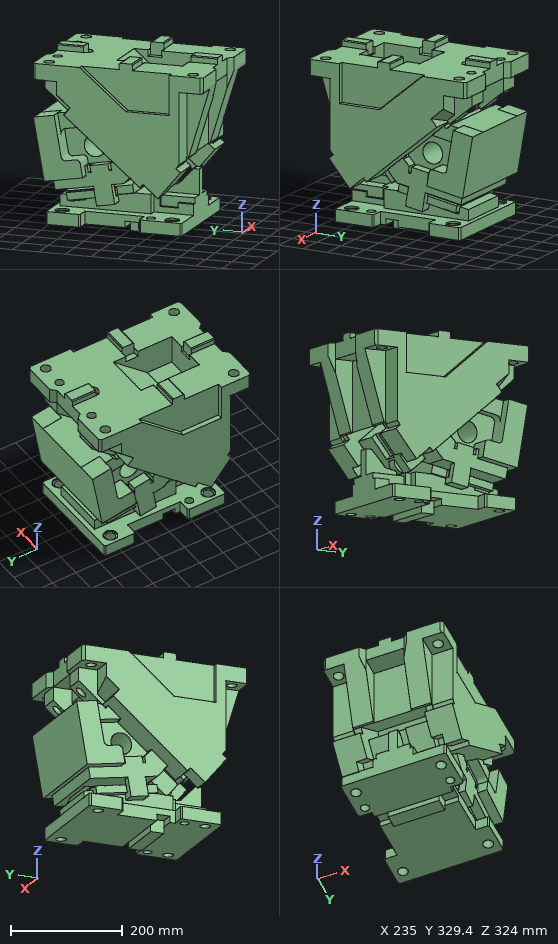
import cadquery as cq
import math

GUIDE_ANGLE = math.radians(40)
GUIDE_ORIGIN_Y = -30.3
GUIDE_ORIGIN_Z = 99.3

RAIL_ANGLE = math.radians(10)
RAIL_ORIGIN_Y = 158.7
RAIL_ORIGIN_Z = 90.6


def guide_point(along, above):
    """(Y, Z) of a point measured down the guide plane and square above it."""
    y = GUIDE_ORIGIN_Y - along * math.cos(GUIDE_ANGLE) - above * math.sin(GUIDE_ANGLE)
    z = GUIDE_ORIGIN_Z - along * math.sin(GUIDE_ANGLE) + above * math.cos(GUIDE_ANGLE)
    return (y, z)


def rail_point(along, above):
    """(Y, Z) of a point measured up the rail toward the front and square above it."""
    y = RAIL_ORIGIN_Y - along * math.cos(RAIL_ANGLE) + above * math.sin(RAIL_ANGLE)
    z = RAIL_ORIGIN_Z + along * math.sin(RAIL_ANGLE) + above * math.cos(RAIL_ANGLE)
    return (y, z)


def guide_above_at_y(y, above):
    """Point at the given Y on the line that runs at a fixed distance above the guide plane."""
    along = (GUIDE_ORIGIN_Y - y - above * math.sin(GUIDE_ANGLE)) / math.cos(GUIDE_ANGLE)
    return guide_point(along, above)


def guide_along_at_y(y, along):
    """Point at the given Y on the line square to the guide plane at a fixed place along it."""
    above = (GUIDE_ORIGIN_Y - y - along * math.cos(GUIDE_ANGLE)) / math.sin(GUIDE_ANGLE)
    return guide_point(along, above)


def guide_rect(start, end, bottom, top):
    """Rectangle lying along the guide plane."""
    return [
        guide_point(start, bottom),
        guide_point(end, bottom),
        guide_point(end, top),
        guide_point(start, top),
    ]


def rail_rect(rear, front, bottom, top):
    """Rectangle lying along the rail."""
    return [
        rail_point(rear, bottom),
        rail_point(front, bottom),
        rail_point(front, top),
        rail_point(rear, top),
    ]


def prism(points, x_from, x_to):
    """A YZ outline extruded along X."""
    return cq.Workplane("YZ").workplane(offset=x_from).polyline(points).close().extrude(x_to - x_from)


def centred_prism(points, half_width):
    return prism(points, -half_width, half_width)


def twin_prisms(points, x_inner, x_outer):
    """The same prism on the right and on the left of the centre plane."""
    return prism(points, x_inner, x_outer).union(prism(points, -x_outer, -x_inner))


def box(x_from, x_to, y_from, y_to, z_from, z_to):
    size = (x_to - x_from, y_to - y_from, z_to - z_from)
    return cq.Workplane("XY").box(*size, centered=False).translate((x_from, y_from, z_from))


def edges_along_x(body, point):
    """Edges parallel to X that pass through the given (Y, Z) point."""
    reach = HOLDER_HALF + 1
    y, z = point
    near = cq.selectors.BoxSelector((-reach, y - 1, z - 1), (reach, y + 1, z + 1))
    return body.edges("|X").edges(near)


def cross_plane(point, along_y, along_z):
    """Plane square to a direction in YZ, with local x along X."""
    return cq.Plane(origin=(0, *point), xDir=(1, 0, 0), normal=(0, along_y, along_z))


BASE_BOTTOM = 12
BASE_TOP = 36
HOLDER_TOP = 312
PLATE_THICKNESS = 30
PLATE_BOTTOM = HOLDER_TOP - PLATE_THICKNESS

KEY_WIDTH = 25.5
KEY_HALF = KEY_WIDTH / 2
KEY_PROUD = 12
KEY_SUNK = 12
KEY_LENGTH = 50.5
KEY_CHAMFER = 2

HOLDER_HALF = 117.5
PLATE_FRONT = -150
PLATE_BACK = 175
PLATE_CORNER = 5
NOTCH_DEPTH = 9.7
NOTCH_HALF = 37
COLUMN_FRONT = -105
COLUMN_BACK = 129
RIB_INNER = NOTCH_HALF
RIB_OUTER = 77
FRONT_SLOPE_TOP = 287.6
FRONT_SLOPE_BOTTOM_Y = -108.4
REAR_RIB_BACK = PLATE_BACK - NOTCH_DEPTH
REAR_RIB_ABOVE = -5
REAR_END = -190
REAR_NOTCH_HEIGHT = 18.5
REAR_BEVEL_INNER_ABOVE = 2.8

BODY_END = 25.8
BODY_RELIEF = 4.3
STOP_END = 37.3
STOP_TOP = 76
STOP_BOTTOM = 28
HOOK_BOTTOM = 8.75
STOP_INNER = 63
HOOK_INNER = 84
CHANNEL_START = -75
CHANNEL_CEILING = 88

WINDOW_FRONT = -85.6
WINDOW_HALF = 45
WINDOW_BACK = 39.5
WINDOW_FLOOR_BACK = -33.2
SIDE_POCKET_INNER = 107.5
SIDE_POCKET_BACK = 84.5
SIDE_POCKET_FLOOR_BACK = -3.8

BOLT_X = 97.5
BOLT_FRONT = -125
BOLT_BACK = 150
BOLT_DIAMETER = 19
DOWEL_X = 52.5
DOWEL_DIAMETER = 16.5


def front_slope_y(z):
    """Y of the sloping front of the ribs at a given height."""
    bottom_y, bottom_z = guide_along_at_y(FRONT_SLOPE_BOTTOM_Y, BODY_END)
    lean = (bottom_y - PLATE_FRONT) / (FRONT_SLOPE_TOP - bottom_z)
    return PLATE_FRONT + (FRONT_SLOPE_TOP - z) * lean


def mounting_plate():
    plate = box(-HOLDER_HALF, HOLDER_HALF, PLATE_FRONT, PLATE_BACK, PLATE_BOTTOM, HOLDER_TOP)
    plate = plate.edges("|Z").chamfer(PLATE_CORNER)
    trim = [
        (PLATE_FRONT, FRONT_SLOPE_TOP),
        (front_slope_y(PLATE_BOTTOM), PLATE_BOTTOM),
        (PLATE_FRONT, PLATE_BOTTOM),
    ]
    return plate.cut(centred_prism(trim, HOLDER_HALF))


def end_notches():
    """Tapered notches in the front and back ends; they also bevel the inner edges of the front ribs."""
    depth = 150
    mouth = NOTCH_HALF + NOTCH_DEPTH
    top = cq.Workplane("XY").workplane(offset=HOLDER_TOP)
    notches = cq.Workplane("XY")
    for edge_y, inward in ((PLATE_FRONT, 1), (PLATE_BACK, -1)):
        floor_y = edge_y + inward * NOTCH_DEPTH
        outline = [(-mouth, edge_y), (-NOTCH_HALF, floor_y), (NOTCH_HALF, floor_y), (mouth, edge_y)]
        notches = notches.union(top.polyline(outline).close().extrude(-depth))
    return notches


def holder_columns():
    return centred_prism(
        [
            (COLUMN_BACK, HOLDER_TOP - PLATE_THICKNESS / 2),
            guide_above_at_y(COLUMN_BACK, REAR_NOTCH_HEIGHT),
            guide_point(REAR_END, REAR_NOTCH_HEIGHT),
            guide_point(REAR_END, 0),
            guide_point(0, 0),
            guide_point(0, STOP_BOTTOM),
            guide_point(BODY_END, STOP_BOTTOM),
            guide_along_at_y(COLUMN_FRONT, BODY_END),
            (COLUMN_FRONT, HOLDER_TOP - PLATE_THICKNESS / 2),
        ],
        HOLDER_HALF,
    )


def front_ribs():
    outline = [
        (COLUMN_FRONT, PLATE_BOTTOM),
        (front_slope_y(PLATE_BOTTOM), PLATE_BOTTOM),
        guide_along_at_y(FRONT_SLOPE_BOTTOM_Y, BODY_END),
        guide_along_at_y(COLUMN_FRONT, BODY_END),
    ]
    return twin_prisms(outline, RIB_INNER, RIB_OUTER)


def rear_ribs():
    outline = [
        (COLUMN_BACK, PLATE_BOTTOM),
        (REAR_RIB_BACK, PLATE_BOTTOM),
        guide_above_at_y(REAR_RIB_BACK, REAR_RIB_ABOVE),
        guide_point(REAR_END, REAR_RIB_ABOVE),
        guide_point(REAR_END, REAR_NOTCH_HEIGHT),
        guide_above_at_y(COLUMN_BACK, REAR_NOTCH_HEIGHT),
    ]
    return twin_prisms(outline, RIB_INNER, RIB_OUTER)


def rear_bevels():
    """Sloping undersides between the rear ribs and the outer faces."""
    length = 40
    start = guide_point(REAR_END - length, 0)
    plane = cross_plane(start, -math.cos(GUIDE_ANGLE), -math.sin(GUIDE_ANGLE))
    outline = [
        (RIB_OUTER, REAR_NOTCH_HEIGHT),
        (RIB_OUTER, REAR_BEVEL_INNER_ABOVE),
        (HOLDER_HALF, REAR_NOTCH_HEIGHT),
    ]
    bevel = cq.Workplane(plane).polyline(outline).close().extrude(length)
    bevel = bevel.intersect(box(0, HOLDER_HALF, 0, COLUMN_BACK, 0, PLATE_BOTTOM))
    return bevel.union(bevel.mirror("YZ"))


def stops():
    stop = guide_rect(BODY_END, STOP_END, STOP_BOTTOM, STOP_TOP)
    hook = guide_rect(0, STOP_END, HOOK_BOTTOM, STOP_BOTTOM)
    return twin_prisms(stop, STOP_INNER, HOLDER_HALF).union(twin_prisms(hook, HOOK_INNER, HOLDER_HALF))


def nose_channel():
    """Channel between the stops for the nose of the slide."""
    return centred_prism(guide_rect(CHANNEL_START, STOP_END, 0, CHANNEL_CEILING), STOP_INNER)


def stop_relief():
    """Groove across the ribs, along the foot of the stops."""
    return centred_prism(guide_rect(BODY_END - BODY_RELIEF, BODY_END, STOP_TOP, CHANNEL_CEILING), RIB_OUTER)


def sloped_pocket(back, floor_back):
    """YZ outline of a top pocket whose back wall slopes parallel to the guide plane."""
    floor = HOLDER_TOP - (back - floor_back) * math.tan(GUIDE_ANGLE)
    return [(back, HOLDER_TOP), (floor_back, floor), (WINDOW_FRONT, floor), (WINDOW_FRONT, HOLDER_TOP)]


def key(x_from, x_to, y_from, y_to, long_axis):
    bar = box(x_from, x_to, y_from, y_to, HOLDER_TOP - KEY_SUNK, HOLDER_TOP + KEY_PROUD)
    return bar.edges(">Z").edges("|" + long_axis).chamfer(KEY_CHAMFER)


def keyed(body):
    floor = HOLDER_TOP - KEY_SUNK
    front = PLATE_FRONT + NOTCH_DEPTH
    back = PLATE_BACK - NOTCH_DEPTH
    side = SIDE_POCKET_INNER
    body = body.cut(box(-KEY_HALF, KEY_HALF, front, WINDOW_FRONT, floor, HOLDER_TOP))
    body = body.cut(box(-KEY_HALF, KEY_HALF, back - KEY_LENGTH, back, floor, HOLDER_TOP))
    slot_end = cq.Workplane("XY").workplane(offset=floor).center(0, back - KEY_LENGTH).circle(KEY_HALF)
    body = body.cut(slot_end.extrude(KEY_SUNK))
    body = body.cut(box(-side, side, -KEY_HALF, KEY_HALF, floor, HOLDER_TOP))
    body = body.union(key(-KEY_HALF, KEY_HALF, front, front + KEY_LENGTH, "Y"))
    body = body.union(key(-KEY_HALF, KEY_HALF, back - KEY_LENGTH, back, "Y"))
    body = body.union(key(side - KEY_LENGTH, side, -KEY_HALF, KEY_HALF, "X"))
    return body.union(key(-side, KEY_LENGTH - side, -KEY_HALF, KEY_HALF, "X"))


def plate_holes():
    bolts = [(x, y) for x in (-BOLT_X, BOLT_X) for y in (BOLT_FRONT, BOLT_BACK)]
    dowels = [(-DOWEL_X, BOLT_BACK), (DOWEL_X, BOLT_BACK)]
    depth = 120
    top = cq.Workplane("XY").workplane(offset=HOLDER_TOP)
    holes = top.pushPoints(bolts).circle(BOLT_DIAMETER / 2).extrude(-depth)
    return holes.union(top.pushPoints(dowels).circle(DOWEL_DIAMETER / 2).extrude(-depth))


def make_holder():
    body = mounting_plate().union(holder_columns()).union(front_ribs()).union(rear_ribs())
    body = body.union(rear_bevels()).union(stops())
    body = body.cut(end_notches()).cut(nose_channel()).cut(stop_relief())
    body = body.cut(centred_prism(sloped_pocket(WINDOW_BACK, WINDOW_FLOOR_BACK), WINDOW_HALF))
    side_pocket = sloped_pocket(SIDE_POCKET_BACK, SIDE_POCKET_FLOOR_BACK)
    body = body.cut(twin_prisms(side_pocket, SIDE_POCKET_INNER, HOLDER_HALF))
    return keyed(body).cut(plate_holes())


BLOCK_HALF = 100.5
SLIDE_HALF = 82
WEB_HALF = 62
BLOCK_TOP = 119
BLOCK_STEP = 34
BLOCK_WALL = 40.5
BLOCK_FRONT = 74.8
BLOCK_FILLET = 8
SLIDE_REAR = 10.5
SLIDE_BOTTOM = -21
SLIDE_FRONT = 144
SHOULDER = -29.8
SHOULDER_DROP = -20.7
SLIDE_GUIDE_START = -182
SLIDE_GUIDE_RELIEF = -8.2
BLOCK_RELIEF_START = -193.6

STRIP_INNER = 70
STRIP_DROP = 1.4
POCKET_TOP = 89
POCKET_FLOOR = 17.5
POCKET_FILLET = 10
BEARING_START = -72
BEARING_EDGE = 139
BEARING_EDGE_HEIGHT = 27.3
CLIP_REAR = 85
CLIP_FRONT = 120
CLIP_BOTTOM = -57.5
CLIP_INNER = 69
CLIP_LIP_INNER = 59
RELIEF_WIDTH = 5
RELIEF_FLOOR = 5

HOLE_ALONG = 93
HOLE_ABOVE = 48.7
HOLE_DIAMETER = 40.5

NOSE_START = -60
NOSE_END = 10.5
NOSE_HALF = 59
NOSE_TIP_HALF = 33
NOSE_TOP = 63.8
NOSE_STEP = 14.7
NOSE_BOTTOM = -19.7
NOSE_SLOT_HALF = 13
NOSE_SLOT_DEPTH = 10
ROLLER_RADIUS = 19.6
ROLLER_HALF = 9
ROLLER_Y = -25.7
ROLLER_Z = 97.4

RAIL_HALF = 59
RAIL_WIDE_HALF = 67.5
RAIL_WIDE_EDGE = -30.8
RAIL_REAR = 25.5
RAIL_FRONT = 151
RAIL_EDGE = -29.5
RAIL_BOTTOM = -45
RAIL_PAD_BOTTOM = -49.4
RAIL_PAD_FRONT = 56
RAIL_PAD_HALF = 55.6
ROOF_TOP = -16
ROOF_TOP_HALF = 18
ROOF_REAR = 21.3


def rail_roof():
    """Roof-shaped top of the base rail, on which the slide rests."""
    plane = cross_plane(rail_point(ROOF_REAR, 0), -math.cos(RAIL_ANGLE), math.sin(RAIL_ANGLE))
    outline = [
        (-RAIL_HALF, RAIL_EDGE),
        (-ROOF_TOP_HALF, ROOF_TOP),
        (ROOF_TOP_HALF, ROOF_TOP),
        (RAIL_HALF, RAIL_EDGE),
    ]
    return cq.Workplane(plane).polyline(outline).close().extrude(RAIL_FRONT - ROOF_REAR)


def slide_blank():
    outline = [
        rail_point(SLIDE_REAR, SLIDE_BOTTOM),
        rail_point(SLIDE_FRONT, SLIDE_BOTTOM),
        guide_point(SHOULDER, SHOULDER_DROP),
        guide_point(SHOULDER, 0),
        guide_point(SLIDE_GUIDE_START, 0),
        guide_point(SLIDE_GUIDE_START, SLIDE_GUIDE_RELIEF),
        guide_point(BLOCK_RELIEF_START, SLIDE_GUIDE_RELIEF),
        rail_point(0, BLOCK_TOP),
        rail_point(0, 0),
        rail_point(SLIDE_REAR, 0),
    ]
    return centred_prism(outline, SLIDE_HALF)


def side_blocks():
    outline = [
        rail_point(0, 0),
        rail_point(BLOCK_FRONT, 0),
        rail_point(BLOCK_FRONT, BLOCK_STEP),
        rail_point(BLOCK_WALL, BLOCK_STEP),
        rail_point(BLOCK_WALL, BLOCK_TOP),
        rail_point(0, BLOCK_TOP),
    ]
    blocks = twin_prisms(outline, WEB_HALF, BLOCK_HALF)
    for along in (BLOCK_FRONT, BLOCK_WALL):
        blocks = edges_along_x(blocks, rail_point(along, BLOCK_STEP)).fillet(BLOCK_FILLET)
    return blocks


def side_pockets():
    """Recesses beside the web; their lower edge follows the clip and the front bearing."""
    clearance = 10
    open_end = 110
    outline = [
        rail_point(BLOCK_WALL, POCKET_TOP),
        rail_point(BLOCK_WALL, POCKET_FLOOR),
        rail_point(CLIP_FRONT + RELIEF_WIDTH, POCKET_FLOOR),
        rail_point(BEARING_EDGE, BEARING_EDGE_HEIGHT),
        guide_point(BEARING_START, 0),
        guide_point(BEARING_START, clearance),
        rail_point(open_end, POCKET_TOP),
    ]
    pockets = twin_prisms(outline, WEB_HALF, SLIDE_HALF)
    return edges_along_x(pockets, rail_point(BLOCK_WALL, POCKET_TOP)).fillet(POCKET_FILLET)


def clip_reliefs():
    reliefs = cq.Workplane("YZ")
    for rear in (CLIP_REAR - RELIEF_WIDTH, CLIP_FRONT):
        slot = rail_rect(rear, rear + RELIEF_WIDTH, RELIEF_FLOOR, POCKET_FLOOR)
        reliefs = reliefs.union(twin_prisms(slot, WEB_HALF, SLIDE_HALF))
    return reliefs


def clips():
    """Legs that reach down beside the rail and hook under it."""
    leg = rail_rect(CLIP_REAR, CLIP_FRONT, CLIP_BOTTOM, SLIDE_BOTTOM)
    lip = rail_rect(CLIP_REAR, CLIP_FRONT, CLIP_BOTTOM, RAIL_BOTTOM)
    return twin_prisms(leg, CLIP_INNER, SLIDE_HALF).union(twin_prisms(lip, CLIP_LIP_INNER, SLIDE_HALF))


def nose():
    wide = centred_prism(guide_rect(NOSE_START, NOSE_END, NOSE_STEP, NOSE_TOP), NOSE_HALF)
    behind = centred_prism(guide_rect(NOSE_START, SHOULDER, 0, NOSE_STEP), NOSE_HALF)
    tip = centred_prism(guide_rect(NOSE_START, NOSE_END, NOSE_BOTTOM, NOSE_STEP), NOSE_TIP_HALF)
    slot = guide_rect(NOSE_END - NOSE_SLOT_DEPTH, NOSE_END, NOSE_STEP, NOSE_TOP)
    roller = cq.Workplane("YZ").workplane(offset=-ROLLER_HALF).center(ROLLER_Y, ROLLER_Z)
    roller = roller.circle(ROLLER_RADIUS).extrude(2 * ROLLER_HALF)
    return wide.union(behind).union(tip).cut(centred_prism(slot, NOSE_SLOT_HALF)).union(roller)


def make_slide():
    strips = guide_rect(SLIDE_GUIDE_START, SHOULDER, -STRIP_DROP, 0)
    body = slide_blank().cut(side_pockets()).cut(twin_prisms(strips, STRIP_INNER, SLIDE_HALF))
    body = body.union(side_blocks()).union(clips()).cut(clip_reliefs())
    body = body.union(nose())
    hole = cq.Workplane("YZ").workplane(offset=-BLOCK_HALF).center(*rail_point(HOLE_ALONG, HOLE_ABOVE))
    body = body.cut(hole.circle(HOLE_DIAMETER / 2).extrude(2 * BLOCK_HALF))
    return body.cut(rail_roof())


BASE_HALF = 103
BASE_FRONT = -104.4
BASE_BACK = 155
WAIST_HALF = 77
WAIST_FRONT = -23.6
WAIST_BACK = 89
BASE_CORNER = 3
PEDESTAL_HALF = 54.6
PEDESTAL_BACK = 145
PEDESTAL_FRONT = -29
PEDESTAL_TOP = 72
PEDESTAL_BACK_TOP = 57
BASE_KEY_HALF_LENGTH = 50

RIB_BACK = -40
RIB_HALF = 9
RIB_TOP = 114.5
RIB_BACK_TOP = 80.5
RIB_BACK_CHAMFER = 3.5
RIB_CREST_Y = -92.9
RIB_SEAT_Y = -63.5
RIB_SEAT_Z = 83.8
RIB_SEAT_FILLET = 8
FOOT_HALF = 39.5
FOOT_TOP = 56.4
FOOT_REAR_TOP = 47
FOOT_STEP_Y = -75
SADDLE_HALF = 33
SADDLE_TOP = 67

BASE_BOLT_X = 83.4
BASE_BOLT_FRONT = -79.4
BASE_BOLT_BACK = 130
BASE_BOLT_DIAMETER = 19
BASE_BORE_DIAMETER = 26
BASE_BORE_DEPTH = 3
BASE_DOWEL_Y = -39
BASE_DOWEL_DIAMETER = 16


def base_plate():
    plate = box(-BASE_HALF, BASE_HALF, BASE_FRONT, BASE_BACK, BASE_BOTTOM, BASE_TOP)
    for x_from in (-BASE_HALF, WAIST_HALF):
        x_to = x_from + BASE_HALF - WAIST_HALF
        plate = plate.cut(box(x_from, x_to, WAIST_FRONT, WAIST_BACK, BASE_BOTTOM, BASE_TOP))
    plate = plate.edges("|Z").edges("<X or >X").chamfer(BASE_CORNER)
    bolts = [(x, y) for x in (-BASE_BOLT_X, BASE_BOLT_X) for y in (BASE_BOLT_FRONT, BASE_BOLT_BACK)]
    dowels = [(-BASE_BOLT_X, BASE_DOWEL_Y), (BASE_BOLT_X, BASE_DOWEL_Y)]
    top = plate.faces(">Z").workplane(origin=(0, 0, BASE_TOP))
    plate = top.pushPoints(bolts).cboreHole(BASE_BOLT_DIAMETER, BASE_BORE_DIAMETER, BASE_BORE_DEPTH)
    top = plate.faces(">Z").workplane(origin=(0, 0, BASE_TOP))
    return top.pushPoints(dowels).hole(BASE_DOWEL_DIAMETER)


def pedestal():
    """Block under the rail: a slope parallel to the rail at the back, level at the front."""
    blank = box(-PEDESTAL_HALF, PEDESTAL_HALF, PEDESTAL_FRONT, PEDESTAL_BACK, BASE_TOP, PEDESTAL_TOP)
    rise = (PEDESTAL_BACK - PEDESTAL_FRONT) * math.tan(RAIL_ANGLE)
    above = [
        (PEDESTAL_BACK, PEDESTAL_BACK_TOP),
        (PEDESTAL_BACK, PEDESTAL_BACK_TOP + rise),
        (PEDESTAL_FRONT, PEDESTAL_BACK_TOP + rise),
    ]
    return blank.cut(centred_prism(above, PEDESTAL_HALF))


def rail():
    narrow = centred_prism(rail_rect(RAIL_REAR, RAIL_FRONT, RAIL_BOTTOM, RAIL_EDGE), RAIL_HALF)
    wide = centred_prism(rail_rect(RAIL_REAR, CLIP_FRONT, RAIL_BOTTOM, RAIL_WIDE_EDGE), RAIL_WIDE_HALF)
    pad = centred_prism(rail_rect(RAIL_REAR, RAIL_PAD_FRONT, RAIL_PAD_BOTTOM, RAIL_BOTTOM), RAIL_PAD_HALF)
    return narrow.union(wide).union(pad).union(rail_roof())


def front_foot():
    link = box(-FOOT_HALF, FOOT_HALF, RIB_BACK, PEDESTAL_FRONT, BASE_TOP, PEDESTAL_TOP)
    low = box(-FOOT_HALF, FOOT_HALF, BASE_FRONT, RIB_BACK, BASE_TOP, FOOT_REAR_TOP)
    high = box(-FOOT_HALF, FOOT_HALF, BASE_FRONT, FOOT_STEP_Y, BASE_TOP, FOOT_TOP)
    saddle = box(-SADDLE_HALF, SADDLE_HALF, BASE_FRONT, RIB_BACK, BASE_TOP, SADDLE_TOP)
    return link.union(low).union(high).union(saddle)


def front_rib():
    outline = [
        (BASE_FRONT, BASE_TOP),
        (RIB_BACK, BASE_TOP),
        (RIB_BACK, RIB_BACK_TOP - RIB_BACK_CHAMFER),
        (RIB_BACK - RIB_BACK_CHAMFER, RIB_BACK_TOP),
        (RIB_SEAT_Y, RIB_SEAT_Z),
        (RIB_CREST_Y, RIB_TOP),
        (BASE_FRONT, RIB_TOP),
    ]
    rib = centred_prism(outline, RIB_HALF)
    return edges_along_x(rib, (RIB_SEAT_Y, RIB_SEAT_Z)).fillet(RIB_SEAT_FILLET)


def make_base():
    body = base_plate().union(pedestal()).union(rail()).union(front_foot()).union(front_rib())
    slot = box(-WAIST_HALF, WAIST_HALF, -KEY_HALF, KEY_HALF, BASE_BOTTOM, BASE_BOTTOM + KEY_SUNK)
    length = BASE_KEY_HALF_LENGTH
    tongue = box(-length, length, -KEY_HALF, KEY_HALF, BASE_BOTTOM - KEY_PROUD, BASE_BOTTOM + KEY_SUNK)
    return body.cut(slot).union(tongue)


holder = make_holder()
slide = make_slide()
base = make_base()
result = cq.Compound.makeCompound([holder.solids().val(), slide.solids().val(), base.solids().val()])